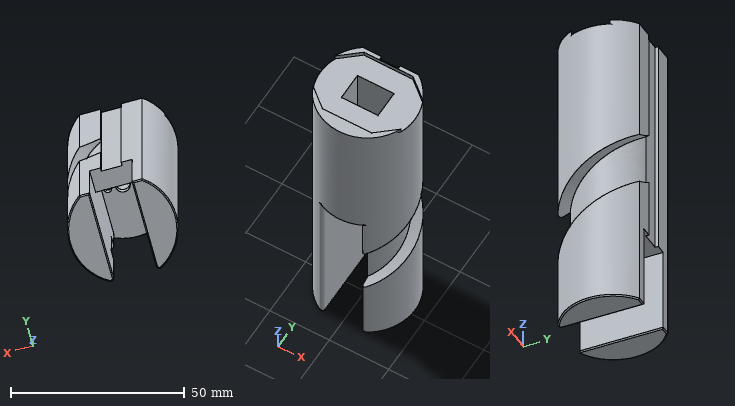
import cadquery as cq
import math

length = 98.5
body_radius = 16.01
back_flat_y = 12.95

recess_depth = 1.5
recess_half_depth = 11.57
recess_flat_half_width = 8.3
recess_corner_angle = 40.0

pocket_width = 12.3
pocket_depth_y = 9.0
pocket_floor_thickness = 3.0
shaft_hole_diameter = 4.3
screw_hole_diameter = 2.3
screw_spacing = 9.0

slot_width = 12.7
slot_top = 54.4
back_wall_bottom = 27.1
lip_radius = 1.0

back_groove_width = 6.2
back_groove_depth = 1.0

channel_floor_radius = 12.46
channel_height = 16.7
channel_pitch = 59.1
channel_front_z = 18.5

bottom_chamfer = 0.4


def make_body():
    bar = cq.Workplane("XY").circle(body_radius).extrude(length)
    behind_flat = (
        cq.Workplane("XY")
        .box(2 * body_radius, body_radius, length, centered=(True, False, False))
        .translate((0, back_flat_y, 0))
    )
    return bar.cut(behind_flat)


def make_top_recess():
    side_x = body_radius + 1.0
    side_y = recess_half_depth - (side_x - recess_flat_half_width) * math.tan(
        math.radians(recess_corner_angle)
    )
    outline = [
        (recess_flat_half_width, recess_half_depth),
        (side_x, side_y),
        (side_x, -side_y),
        (recess_flat_half_width, -recess_half_depth),
        (-recess_flat_half_width, -recess_half_depth),
        (-side_x, -side_y),
        (-side_x, side_y),
        (-recess_flat_half_width, recess_half_depth),
    ]
    floor = cq.Workplane("XY", origin=(0, 0, length - recess_depth))
    return floor.polyline(outline).close().extrude(recess_depth)


def make_motor_pocket():
    floor_z = slot_top + pocket_floor_thickness
    pocket = (
        cq.Workplane("XY", origin=(0, 0, floor_z))
        .rect(pocket_width, pocket_depth_y)
        .extrude(length - floor_z)
    )
    slot_roof = cq.Workplane("XY", origin=(0, 0, slot_top))
    shaft_hole = slot_roof.circle(shaft_hole_diameter / 2).extrude(pocket_floor_thickness)
    screw_holes = (
        slot_roof.pushPoints([(-screw_spacing / 2, 0), (screw_spacing / 2, 0)])
        .circle(screw_hole_diameter / 2)
        .extrude(pocket_floor_thickness)
    )
    return pocket.union(shaft_hole).union(screw_holes)


def make_slot():
    """Slot from the front to the back wall, continuing out of the back lower down."""
    back_wall_y = slot_width / 2
    front = (
        cq.Workplane("XY")
        .box(slot_width, body_radius + back_wall_y, slot_top, centered=(True, False, False))
        .translate((0, -body_radius, 0))
    )
    through = cq.Workplane("XY").box(
        slot_width, 2 * body_radius, back_wall_bottom, centered=(True, True, False)
    )
    return front.union(through)


def make_back_groove():
    return (
        cq.Workplane("XY")
        .box(back_groove_width, back_groove_depth, length, centered=(True, False, False))
        .translate((0, back_flat_y - back_groove_depth, 0))
    )


def make_helical_channel():
    """Ring sector twisted upwards, so its two sides are helical; kept to the +X half."""
    outer_radius = body_radius + 1.0
    sector_angle = 360.0 * channel_height / channel_pitch
    rise = channel_height + channel_pitch / 2
    middle_angle = -sector_angle / 2

    def point(radius, angle):
        turn = math.radians(angle - 90.0)
        return (radius * math.cos(turn), radius * math.sin(turn))

    sector = (
        cq.Workplane("XY", origin=(0, 0, channel_front_z))
        .moveTo(*point(channel_floor_radius, -sector_angle))
        .lineTo(*point(outer_radius, -sector_angle))
        .threePointArc(point(outer_radius, middle_angle), point(outer_radius, 0))
        .lineTo(*point(channel_floor_radius, 0))
        .threePointArc(
            point(channel_floor_radius, middle_angle),
            point(channel_floor_radius, -sector_angle),
        )
        .close()
    )
    channel = sector.twistExtrude(rise, 360.0 * rise / channel_pitch)
    right_side = (
        cq.Workplane("XY")
        .box(2 * outer_radius, 3 * outer_radius, length, centered=(False, True, False))
        .translate((back_groove_width / 3, 0, 0))
    )
    return channel.intersect(right_side)


result = make_body().cut(make_slot())

lip_y = -math.sqrt(body_radius**2 - (slot_width / 2) ** 2)
for lip_x in (-slot_width / 2, slot_width / 2):
    lip = cq.selectors.NearestToPointSelector((lip_x, lip_y, slot_top / 2))
    result = result.edges("|Z").edges(lip).fillet(lip_radius)

result = result.faces("<Z").edges().chamfer(bottom_chamfer)
result = result.cut(make_top_recess())
result = result.cut(make_motor_pocket())
result = result.cut(make_back_groove())
result = result.cut(make_helical_channel())